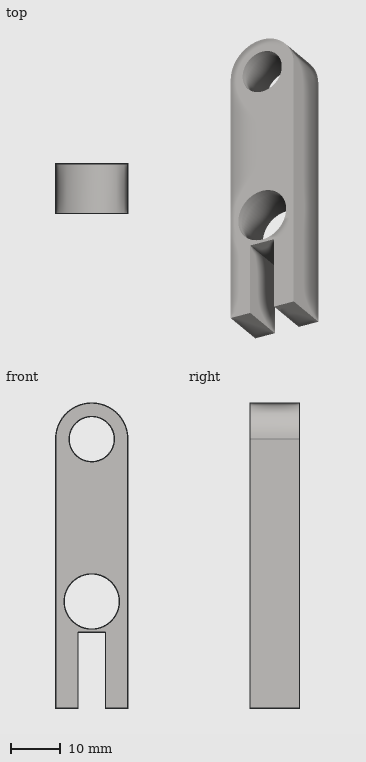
import cadquery as cq

width = 14.5
thickness = 10.0
height = 61.15
upper_hole_diameter = 9.0
lower_hole_diameter = 11.0
hole_spacing = 32.5
slot_width = 5.5
slot_depth = 15.25

end_radius = width / 2
upper_hole_z = height - end_radius
lower_hole_z = upper_hole_z - hole_spacing


def link_body():
    """Flat bar standing on Z = 0, centred on X and Y, with a semicircular top end."""
    return (
        cq.Workplane("XZ")
        .moveTo(-end_radius, 0)
        .lineTo(end_radius, 0)
        .lineTo(end_radius, upper_hole_z)
        .threePointArc((0, height), (-end_radius, upper_hole_z))
        .close()
        .extrude(thickness / 2, both=True)
    )


def cross_hole(diameter, z):
    """Cutter for a round hole through the thickness at height z."""
    return cq.Workplane("XZ").center(0, z).circle(diameter / 2).extrude(thickness / 2, both=True)


def fork_slot():
    """Cutter for the open slot that splits the lower end into two prongs."""
    return cq.Workplane("XY").rect(slot_width, thickness).extrude(slot_depth)


result = (
    link_body()
    .cut(cross_hole(upper_hole_diameter, upper_hole_z))
    .cut(cross_hole(lower_hole_diameter, lower_hole_z))
    .cut(fork_slot())
)